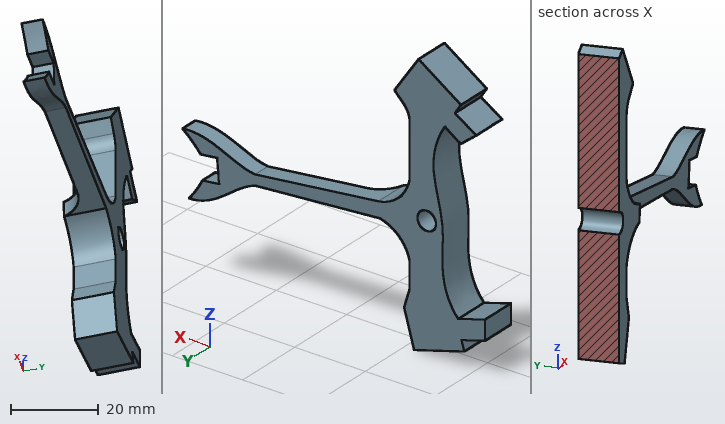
import cadquery as cq

thickness = 10.0
arm_thickness = 5.0
pivot_diameter = 5.2

body_right = 4.9
body_left = -4.5
lug_left = -16.6
tip_right = 69.3
top_corner = (2.3, 40.95)
bottom_corner = (3.6, -34.4)

arm_root_upper = (13.7, 0.8)
arm_root_lower = (13.3, -3.5)
arm_end_upper = (48.7, -3.2)
arm_end_lower = (48.7, -6.1)
upper_tip = (tip_right, 2.2)
lower_tip = (67.5, -15.2)

arm_tilt = 5.7
relief_radius = 6.95
relief_length = 64.4
relief_height = 34.3


def upper_right_side(outline):
    """Upper head, right side of the body and upper edge of the arm."""
    return (
        outline.moveTo(*top_corner)
        .lineTo(9.2, 30.8)
        .lineTo(6.5, 28.1)
        .threePointArc((5.3, 26.2), (body_right, 24.2))
        .lineTo(body_right, 9.1)
        .threePointArc((7.2, 4.3), arm_root_upper)
        .lineTo(*arm_end_upper)
    )


def fork(outline):
    """Two curved prongs around a square-bottomed notch."""
    return (
        outline.spline([(50.9, -2.75), (58.4, 0.3), (63.8, 2.0), upper_tip], includeCurrent=True)
        .threePointArc((66.5, -0.2), (64.1, -2.8))
        .lineTo(59.5, -2.3)
        .lineTo(58.9, -8.8)
        .lineTo(63.6, -9.35)
        .threePointArc((65.3, -12.4), lower_tip)
        .spline([(63.0, -14.4), (58.6, -12.2), (50.4, -6.8), arm_end_lower], includeCurrent=True)
    )


def lower_right_side(outline):
    """Lower edge of the arm and right side down to the bottom corner."""
    return (
        outline.lineTo(*arm_root_lower)
        .threePointArc((8.0, -6.35), (body_right, -11.8))
        .lineTo(body_right, -19.05)
        .lineTo(6.4, -24.3)
        .lineTo(*bottom_corner)
    )


def left_side(outline):
    """Both stepped lugs and the waved left side between them."""
    wave_points = [
        (-5.7, -16.9),
        (body_left, -10.5),
        (body_left, -0.1),
        (-3.6, 5.1),
        (-2.4, 10.5),
        (-1.9, 14.9),
        (-2.3, 19.05),
        (-5.15, 25.8),
    ]
    return (
        outline.lineTo(-10.65, -30.4)
        .lineTo(-9.9, -27.6)
        .lineTo(lug_left, -25.75)
        .lineTo(lug_left, -20.3)
        .lineTo(-8.9, -22.5)
        .spline(wave_points, includeCurrent=True)
        .lineTo(-9.6, 22.75)
        .lineTo(-14.1, 26.35)
        .lineTo(-8.0, 30.2)
        .lineTo(-9.7, 32.9)
        .close()
    )


def arm_relief():
    """Cutter in front of the arm, with a round run-out next to the body."""
    root_x = (arm_root_upper[0] + arm_root_lower[0]) / 2
    root_z = (arm_root_upper[1] + arm_root_lower[1]) / 2
    arm_face = thickness - arm_thickness
    centre_y = arm_face - relief_radius
    run_out = (relief_radius**2 - centre_y**2) ** 0.5
    flat_start = (run_out, arm_face)
    return (
        cq.Workplane("XY")
        .moveTo(0, 0)
        .radiusArc(flat_start, relief_radius)
        .lineTo(relief_length, arm_face)
        .lineTo(relief_length, 0)
        .close()
        .extrude(relief_height, both=True)
        .rotate((0, 0, 0), (0, 1, 0), arm_tilt)
        .translate((root_x, 0, root_z))
    )


outline = upper_right_side(cq.Workplane("XZ"))
outline = fork(outline)
outline = lower_right_side(outline)
outline = left_side(outline)
plate = outline.extrude(-thickness)

pivot_hole = cq.Workplane("XZ").circle(pivot_diameter / 2).extrude(-thickness)

result = plate.cut(pivot_hole).cut(arm_relief())